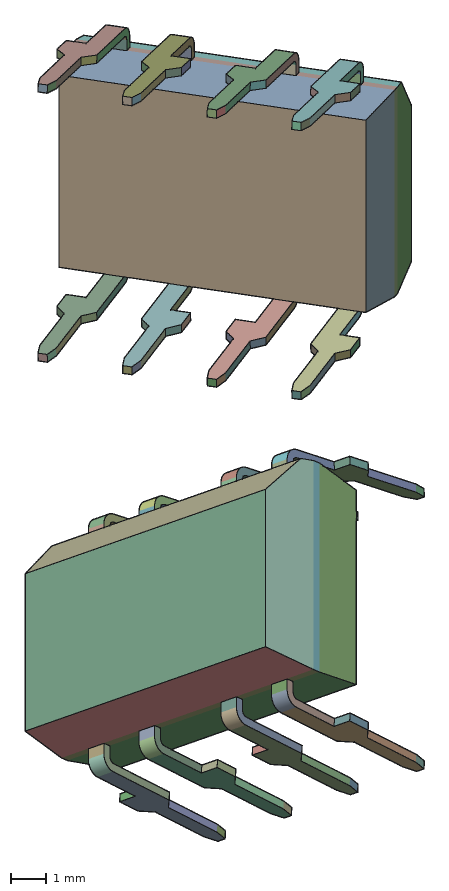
import cadquery as cq
import math

body_width = 9.66
overall_depth = 7.35
overall_height = 8.57

body_depth = 3.8
body_height = 6.39
face_inset = 0.22
bevel_drop = 1.35
bevel_angle = 45.0

lead_thickness = 0.25
lead_pitch = 2.54
lead_columns = 4
shoulder_width = 1.2
stem_width = shoulder_width / 2
pin_width = 0.5
tip_width = 0.28
bend_inner_radius = 0.17
leg_angle = 3.8

tip_taper_length = 0.45
pin_length = 2.49
shoulder_taper_length = (shoulder_width - pin_width) / 2
shoulder_length = 0.77
taper_start = pin_length + shoulder_taper_length
shoulder_start = taper_start + shoulder_length

belt_half = lead_thickness / 2
half_depth = body_depth / 2
belt_top = body_height / 2

splay_sin = math.sin(math.radians(leg_angle))
splay_cos = math.cos(math.radians(leg_angle))
bend_outer_radius = bend_inner_radius + lead_thickness
bend_center_y = -belt_half - bend_inner_radius
tip_y = half_depth - overall_depth
leg_length = (bend_center_y + bend_inner_radius * splay_sin - tip_y) / splay_cos
bend_center_z = overall_height / 2 - leg_length * splay_sin - bend_outer_radius * splay_cos


def drafted_half(front_sign):
    """Half of the body, from the belt to its front (-1) or back (+1) end face."""
    draft_length = half_depth - belt_half
    draft_angle = math.degrees(math.atan(face_inset / draft_length))
    return (
        cq.Workplane("XZ", origin=(0, front_sign * belt_half, 0))
        .rect(body_width, body_height)
        .extrude(-front_sign * draft_length, taper=draft_angle)
    )


def make_body():
    belt = cq.Workplane("XY").box(body_width, lead_thickness, body_height)
    body = belt.union(drafted_half(-1)).union(drafted_half(1))

    bevel_run = bevel_drop / math.tan(math.radians(bevel_angle))
    bevel = (
        cq.Workplane("YZ")
        .moveTo(half_depth, belt_top - bevel_drop)
        .lineTo(half_depth, belt_top)
        .lineTo(half_depth - bevel_run, belt_top)
        .close()
        .extrude(body_width / 2, both=True)
    )
    return body.cut(bevel)


def bend_point(radius, angle):
    """(Y, Z) on the bend, with the angle measured from the stem side (+Y) upward."""
    turn = math.radians(angle)
    return (bend_center_y + radius * math.cos(turn), bend_center_z + radius * math.sin(turn))


def make_upper_lead(center_x, stem_side):
    """Lead leaving the belt upward; its stem lies on the stem_side (-1 or +1) half in X."""
    bend_end = 90 - leg_angle
    bend_middle = bend_end / 2

    stem = (
        cq.Workplane("YZ", origin=(center_x, 0, 0))
        .moveTo(-belt_half, belt_top)
        .lineTo(belt_half, belt_top)
        .lineTo(*bend_point(bend_outer_radius, 0))
        .threePointArc(
            bend_point(bend_outer_radius, bend_middle),
            bend_point(bend_outer_radius, bend_end),
        )
        .lineTo(*bend_point(bend_inner_radius, bend_end))
        .threePointArc(
            bend_point(bend_inner_radius, bend_middle),
            bend_point(bend_inner_radius, 0),
        )
        .close()
        .extrude(stem_side * stem_width)
    )

    bend_y, bend_z = bend_point(bend_inner_radius, bend_end)
    tip_center = (center_x, bend_y - leg_length * splay_cos, bend_z + leg_length * splay_sin)
    leg_plane = cq.Plane(origin=tip_center, xDir=(stem_side, 0, 0), normal=(0, splay_sin, splay_cos))
    back = stem_side
    outline = [
        (-tip_width / 2, 0),
        (tip_width / 2, 0),
        (pin_width / 2, tip_taper_length),
        (pin_width / 2, pin_length),
        (shoulder_width / 2, taper_start),
        (stem_width, leg_length),
        (0, leg_length),
        (0, shoulder_start),
        (-shoulder_width / 2, shoulder_start),
        (-shoulder_width / 2, taper_start),
        (-pin_width / 2, pin_length),
        (-pin_width / 2, tip_taper_length),
    ]
    leg = (
        cq.Workplane(leg_plane)
        .polyline([(across, back * along) for across, along in outline])
        .close()
        .extrude(lead_thickness)
    )
    return stem.union(leg)


body = make_body()

leads = []
for column in range(lead_columns):
    center_x = (column - (lead_columns - 1) / 2) * lead_pitch
    stem_side = 1 if column % 2 == 0 else -1
    upper_lead = make_upper_lead(center_x, stem_side)
    lower_lead = upper_lead.mirror("XY")
    leads += [upper_lead.val(), lower_lead.val()]

result = cq.Compound.makeCompound([body.val(), *leads])